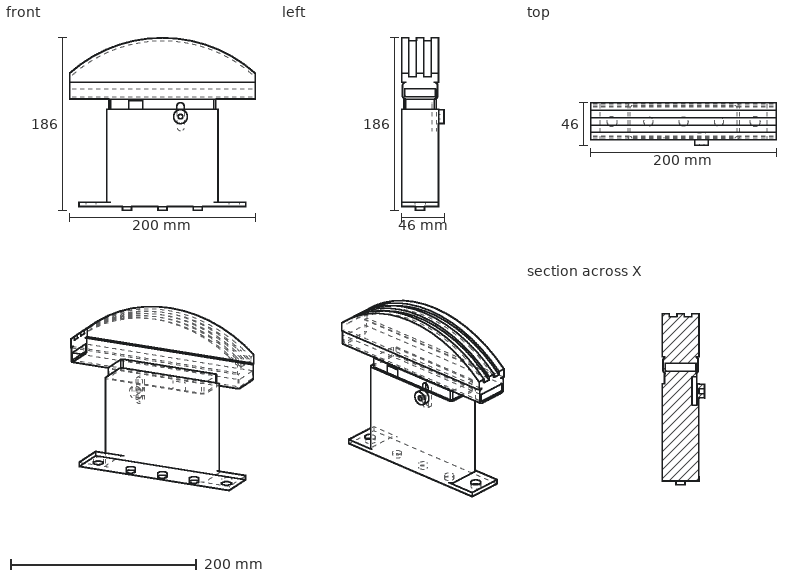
import cadquery as cq
import math

plate_length = 180.0
plate_thickness = 5.0
part_width = 40.0
mount_hole_diameter = 11.0
mount_hole_spacing = 154.0
peg_diameter = 10.0
peg_height = 4.0
peg_pitch = 38.0

housing_length = 120.0
housing_top = 105.0
housing_corner_radius = 4.0
housing_wall = 2.5

neck_length = housing_length - 2 * housing_wall
neck_width = part_width - 2 * housing_wall
neck_corner_chamfer = 2.0
neck_top = 116.0

knob_x = 19.5
knob_diameter = 15.0
knob_length = 6.0
knob_z = 97.0
knob_hole_diameter = 5.0
slot_width = 8.0
slot_top = 112.0
slot_length = 2 * (slot_top - knob_z)
slot_depth = 5.0

recess_width = 15.0
recess_left = -36.0
recess_top = 114.0
recess_depth = 0.1

rail_length = 200.0
rail_width = 38.0
rail_height = 18.0
rail_wall = 2.5
rail_outer_radius = 3.5
rail_inner_radius = rail_outer_radius - rail_wall
rail_mouth = 22.0
rail_top = neck_top + rail_height

arch_radius = 150.0
arch_top = rail_top + 48.0
foot_depth = 7.0
rib_count = 3
groove_count = rib_count - 1
rib_width = part_width / (rib_count + groove_count)
groove_depth = 3.0


def block(length, width, bottom, top):
    """Box centred on the Z axis between two heights."""
    return cq.Workplane("XY").workplane(offset=bottom).rect(length, width).extrude(top - bottom)


def make_base():
    plate = block(plate_length, part_width, 0, plate_thickness)
    mount_points = [(-mount_hole_spacing / 2, 0), (mount_hole_spacing / 2, 0)]
    holes = cq.Workplane("XY").pushPoints(mount_points).circle(mount_hole_diameter / 2)
    holes = holes.extrude(plate_thickness)
    peg_points = [(step * peg_pitch, 0) for step in (-1, 0, 1)]
    pegs = cq.Workplane("XY").pushPoints(peg_points).circle(peg_diameter / 2).extrude(-peg_height)
    return plate.cut(holes).union(pegs)


def make_housing():
    housing = block(housing_length, part_width, plate_thickness, housing_top)
    return housing.edges("|Z").fillet(housing_corner_radius)


def neck_front(x, z):
    """Workplane on the front face of the neck, with its origin at the given point."""
    return cq.Workplane("XZ", origin=(x, -neck_width / 2, z))


def make_neck():
    neck = block(neck_length, neck_width, housing_top, neck_top).edges("|Z").chamfer(neck_corner_chamfer)
    recess = (
        neck_front(recess_left, housing_top)
        .rect(recess_width, recess_top - housing_top, centered=False)
        .extrude(-recess_depth)
    )
    return neck.cut(recess)


def make_slot():
    return neck_front(knob_x, knob_z).slot2D(slot_length, slot_width, 90).extrude(-slot_depth)


def make_knob():
    front = cq.Workplane("XZ", origin=(knob_x, -part_width / 2, knob_z))
    return front.circle(knob_diameter / 2).circle(knob_hole_diameter / 2).extrude(knob_length)


def make_rail():
    outside = block(rail_length, rail_width, neck_top, rail_top).edges("|X").fillet(rail_outer_radius)
    inside_width = rail_width - 2 * rail_wall
    inside = block(rail_length, inside_width, neck_top + rail_wall, rail_top - rail_wall)
    inside = inside.edges("|X").fillet(rail_inner_radius)
    mouth = block(rail_length, rail_mouth, rail_top - rail_wall, rail_top)
    return outside.cut(inside).cut(mouth)


def arch_profile(radius, bottom):
    """Flat-bottomed outline under an arc about the shoe's centre of curvature."""
    half_length = rail_length / 2
    centre_z = arch_top - arch_radius
    end_z = centre_z + math.sqrt(radius**2 - half_length**2)
    return (
        cq.Workplane("XZ")
        .moveTo(-half_length, bottom)
        .lineTo(-half_length, end_z)
        .threePointArc((0, centre_z + radius), (half_length, end_z))
        .lineTo(half_length, bottom)
        .close()
    )


def make_shoe():
    core = arch_profile(arch_radius - groove_depth, rail_top).extrude(part_width / 2, both=True)
    rib = arch_profile(arch_radius, rail_top).extrude(rib_width / 2, both=True)
    rib_pitch = 2 * rib_width
    shoe = core
    for index in range(rib_count):
        rib_y = (index - groove_count / 2) * rib_pitch
        shoe = shoe.union(rib.translate((0, rib_y, 0)))
    stem = block(rail_length, rail_mouth, rail_top - rail_wall, rail_top)
    foot = block(rail_length, rail_width - 2 * rail_wall, rail_top - foot_depth, rail_top - rail_wall)
    foot = foot.edges("|X and >Z").fillet(rail_inner_radius)
    return shoe.union(stem).union(foot)


result = make_base()
for piece in (make_housing(), make_neck(), make_knob(), make_rail(), make_shoe()):
    result = result.union(piece)
result = result.cut(make_slot())